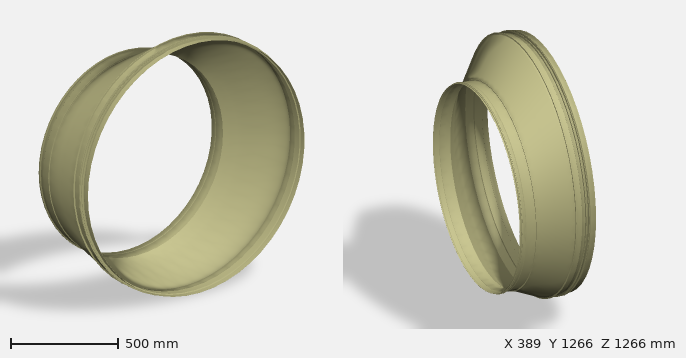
import cadquery as cq

sheet = 0.9
total_length = 389.0
large_outer_radius = 1249.0 / 2
small_outer_radius = 999.0 / 2
small_centre_y = small_outer_radius - large_outer_radius

small_joint_x = 84.0
cone_start_x = 89.0
cone_end_x = 276.0
large_joint_x = 285.0

flange_thickness = sheet
small_flange_radius = 1009.0 / 2
large_flange_radius = 1266 / 2

small_groove_start_x = 5.0
small_groove_end_x = 34.0
small_groove_radius = 995.0 / 2
large_groove_start_x = 318.0
large_groove_end_x = 361.0
large_groove_radius = 1239.0 / 2
groove_slope = 3.0

small_lip_radius = small_flange_radius
large_lip_radius = large_flange_radius
large_base_radius = 1242.0 / 2
small_base_radius = 1004.0 / 2
large_lip_thickness = 1.0
small_lip_thickness = 4.0
large_toe_length = 5.0
small_toe_length = 1.0
small_gasket_width = 9.0
inner_gasket_lip_x = 337.0
inner_gasket_width = 10.0
outer_gasket_width = 8.0


def ring(profile, centre_y):
    """Revolve (x, radius) points about the X-parallel axis at centre_y."""
    return (
        cq.Workplane("XY")
        .polyline([(x, centre_y - radius) for x, radius in profile])
        .close()
        .revolve(360, (0, centre_y), (1, centre_y))
    )


def collar(end_x, joint_x, outer_radius, groove_start_x, groove_end_x, groove_radius, flange_radius, centre_y):
    """Thin tube with one rolled groove and an outward flange at the cone joint."""
    toward_joint = 1 if joint_x > end_x else -1
    first_x, last_x = (
        (groove_start_x, groove_end_x) if toward_joint > 0 else (groove_end_x, groove_start_x)
    )
    slope = toward_joint * groove_slope
    outside = [
        (end_x, outer_radius),
        (first_x, outer_radius),
        (first_x + slope, groove_radius),
        (last_x - slope, groove_radius),
        (last_x, outer_radius),
    ]
    flange_x = joint_x - toward_joint * flange_thickness
    flange = [(flange_x, outer_radius), (flange_x, flange_radius), (joint_x, flange_radius)]
    inside = [(x, radius - sheet) for x, radius in outside]
    return ring(outside + flange + [(joint_x, outer_radius - sheet)] + inside[::-1], centre_y)


def frustum(inset):
    """Oblique cone between the two tangent circles, with its radii reduced by inset."""
    return (
        cq.Workplane("YZ", origin=(cone_start_x, 0, 0))
        .center(small_centre_y, 0)
        .circle(small_outer_radius - inset)
        .workplane(offset=cone_end_x - cone_start_x)
        .center(-small_centre_y, 0)
        .circle(large_outer_radius - inset)
        .loft(ruled=True)
    )


def cone_end(joint_x, cone_x, outer_radius, flange_radius, centre_y):
    """Short straight end of the cone, flanged outward against a collar."""
    toward_cone = 1 if cone_x > joint_x else -1
    flange_x = joint_x + toward_cone * flange_thickness
    profile = [
        (joint_x, outer_radius - sheet),
        (joint_x, flange_radius),
        (flange_x, flange_radius),
        (flange_x, outer_radius),
        (cone_x, outer_radius),
        (cone_x, outer_radius - sheet),
    ]
    return ring(profile, centre_y)


def gasket(lip_x, far_x, lip_thickness, toe_length, groove_radius, base_radius, lip_radius, centre_y):
    """Strip on the groove floor from lip_x to far_x, with a lip at lip_x and a sloped toe at far_x."""
    toward_far = 1 if far_x > lip_x else -1
    lip_side_x = lip_x + toward_far * lip_thickness
    profile = [
        (lip_x, groove_radius),
        (lip_x, lip_radius),
        (lip_side_x, lip_radius),
        (lip_side_x, base_radius),
        (far_x - toward_far * toe_length, base_radius),
        (far_x, groove_radius),
    ]
    return ring(profile, centre_y)


small_collar = collar(
    0, small_joint_x, small_outer_radius, small_groove_start_x, small_groove_end_x,
    small_groove_radius, small_flange_radius, small_centre_y,
)
large_collar = collar(
    total_length, large_joint_x, large_outer_radius, large_groove_start_x, large_groove_end_x,
    large_groove_radius, large_flange_radius, 0,
)

cone = (
    frustum(0)
    .cut(frustum(sheet))
    .union(cone_end(small_joint_x, cone_start_x, small_outer_radius, small_flange_radius, small_centre_y))
    .union(cone_end(large_joint_x, cone_end_x, large_outer_radius, large_flange_radius, 0))
)

small_floor_start_x = small_groove_start_x + groove_slope
large_floor_end_x = large_groove_end_x - groove_slope
small_gasket = gasket(
    small_floor_start_x + small_gasket_width, small_floor_start_x, small_lip_thickness, small_toe_length,
    small_groove_radius, small_base_radius, small_lip_radius, small_centre_y,
)
inner_gasket = gasket(
    inner_gasket_lip_x, inner_gasket_lip_x - inner_gasket_width, large_lip_thickness, large_toe_length,
    large_groove_radius, large_base_radius, large_lip_radius, 0,
)
outer_gasket = gasket(
    large_floor_end_x - outer_gasket_width, large_floor_end_x, large_lip_thickness, large_toe_length,
    large_groove_radius, large_base_radius, large_lip_radius, 0,
)

result = cq.Compound.makeCompound([
    cone.val(), small_collar.val(), large_collar.val(),
    small_gasket.val(), inner_gasket.val(), outer_gasket.val(),
])